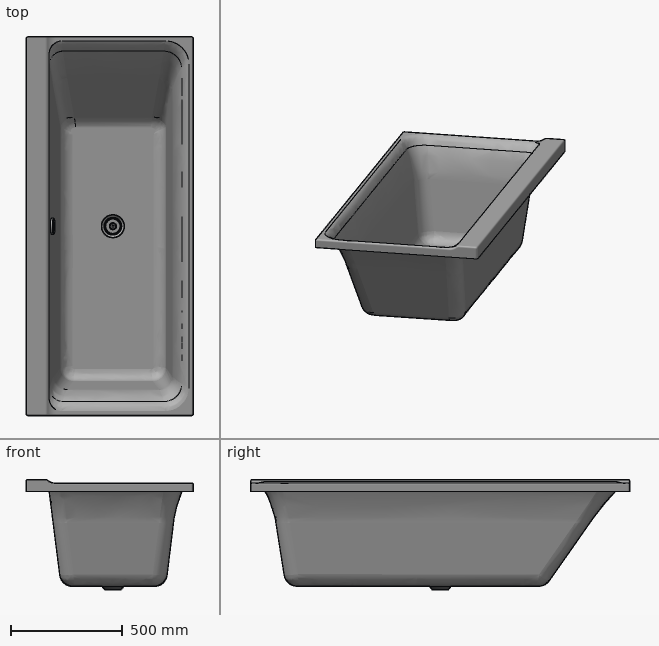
import cadquery as cq
import math


rim_width = 750.25
rim_length = 1700.11
rim_underside_z = -54.0
rim_top_z = -16.0
rim_corner_round = 10.0
rim_edge_round = 8.0
deck_width = 87.0
step_round_width = 10.0
step_toe_width = 35.0

wall = 5.0
floor_z = -474.0
floor_fillet = 56.0
flare_z = -196.0
flare_rise = rim_top_z - flare_z
flare_angles = (0, 15, 30, 45, 60, 75, 90)
corner_radius = 59.0
wide_corner_radius = 105.0

deck_wall = (214.0, 7.2, 0.0)
side_wall = (247.0, 7.0, 52.0)
back_wall = (469.0, 35.0, 41.0)
foot_wall = (688.0, 9.0, 69.0)

drain_x = 14.0
recess_top_diameter = 104.0
recess_floor_diameter = 80.0
recess_depth = 12.0
sump_top_diameter = 100.0
sump_bottom_diameter = 72.0
tub_bottom_z = -495.0

flange_diameter = 72.0
flange_height = 13.0
flange_chamfer = 4.0
shank_diameter = 52.0
ring_diameter = 32.0
hub_diameter = 24.0
ring_depth = 3.0
socket_diameter = 9.2
socket_depth = 8.0
back_bore_diameter = 24.0
back_bore_depth = 2.0
overflow_z = -97.0


def wall_distance(wall_data, z, flare_angle, outset):
    """Distance of a wall from the origin at height z, moved out by the outset thickness."""
    base, lean, flare = wall_data
    slope = math.radians(lean)
    straight = base + (z - floor_z) * math.tan(slope) + outset / math.cos(slope)
    return straight + flare * (1 - math.cos(math.radians(flare_angle)))


def section(z, flare_angle, outset):
    """Rounded outline of the bowl at height z, with larger corners on its +X side."""
    x0 = -wall_distance(deck_wall, z, flare_angle, outset)
    x1 = wall_distance(side_wall, z, flare_angle, outset)
    y0 = -wall_distance(foot_wall, z, flare_angle, outset)
    y1 = wall_distance(back_wall, z, flare_angle, outset)
    growth = 1 - math.cos(math.radians(flare_angle))
    r0 = corner_radius + outset
    r1 = r0 + (wide_corner_radius - corner_radius) * growth
    c0 = r0 * (1 - math.sqrt(0.5))
    c1 = r1 * (1 - math.sqrt(0.5))
    outline = (
        cq.Workplane("XY", origin=(0, 0, z))
        .moveTo(x0 + r0, y0)
        .lineTo(x1 - r1, y0)
        .threePointArc((x1 - c1, y0 + c1), (x1, y0 + r1))
        .lineTo(x1, y1 - r1)
        .threePointArc((x1 - c1, y1 - c1), (x1 - r1, y1))
        .lineTo(x0 + r0, y1)
        .threePointArc((x0 + c0, y1 - c0), (x0, y1 - r0))
        .lineTo(x0, y0 + r0)
        .threePointArc((x0 + c0, y0 + c0), (x0 + r0, y0))
        .close()
    )
    return outline.val()


def bowl(outset):
    """Solid filling the bowl, enlarged on all sides by the outset thickness."""
    bottom = section(floor_z - outset, 0, outset)
    flare_start = section(flare_z, 0, outset)
    lower = cq.Workplane(cq.Solid.makeLoft([bottom, flare_start], True))
    lower = lower.faces("<Z").edges().fillet(floor_fillet + outset)
    flare_sections = [
        section(flare_z + flare_rise * math.sin(math.radians(angle)), angle, outset)
        for angle in flare_angles
    ]
    upper = cq.Workplane(cq.Solid.makeLoft(flare_sections))
    return lower.union(upper)


def rim_slab():
    """Rim and deck slab, with an S-shaped step between the two levels."""
    left = -rim_width / 2
    step_start = left + deck_width
    step_middle = step_start + step_round_width
    step_end = step_middle + step_toe_width
    step_middle_z = rim_top_z * step_round_width / (step_round_width + step_toe_width)
    slab = (
        cq.Workplane("XZ", origin=(0, rim_length / 2, 0))
        .moveTo(left, rim_underside_z)
        .lineTo(left, 0)
        .lineTo(step_start, 0)
        .tangentArcPoint((step_middle, step_middle_z), relative=False)
        .tangentArcPoint((step_end, rim_top_z), relative=False)
        .lineTo(rim_width / 2, rim_top_z)
        .lineTo(rim_width / 2, rim_underside_z)
        .close()
        .extrude(rim_length)
    )
    slab = slab.edges("|Z").fillet(rim_corner_round)
    outer_sides = slab.faces("<X or >X or <Y or >Y")
    return outer_sides.edges("not (|Z or <Z)").fillet(rim_edge_round)


def cone(x, z_low, z_high, diameter_low, diameter_high):
    """Upright cone frustum centred at (x, 0)."""
    height = z_high - z_low
    return cq.Workplane(
        cq.Solid.makeCone(diameter_low / 2, diameter_high / 2, height, cq.Vector(x, 0, z_low))
    )


def disc(diameter, z_low, height):
    """Cylinder on the Z axis."""
    return cq.Workplane("XY", origin=(0, 0, z_low)).circle(diameter / 2).extrude(height)


def shank(shank_length):
    """Plain part of a fitting that passes through the tub wall, below the origin."""
    return disc(shank_diameter, -shank_length, shank_length)


def fitting(shank_length):
    """Flange that lies on the inner face of the tub, with a shank that fills the hole in the wall."""
    flange = disc(flange_diameter, 0, flange_height)
    flange = flange.faces(">Z").edges().chamfer(flange_chamfer)
    ring_floor = flange_height - ring_depth
    ring = disc(ring_diameter, ring_floor, ring_depth).cut(disc(hub_diameter, ring_floor, ring_depth))
    socket = disc(socket_diameter, flange_height - socket_depth, socket_depth)
    back_bore = disc(back_bore_diameter, -shank_length, back_bore_depth)
    return flange.union(shank(shank_length)).cut(ring).cut(socket).cut(back_bore)


def placed(body, location):
    """The body moved from the origin to its place on the tub."""
    return cq.Workplane(body.val().moved(location))


rim_opening = section(rim_top_z, flare_angles[-1], 0)
opening = cq.Workplane(
    cq.Solid.extrudeLinear(rim_opening, [], cq.Vector(0, 0, -rim_top_z))
)
sump = cone(drain_x, tub_bottom_z, floor_z - wall, sump_bottom_diameter, sump_top_diameter)
recess_floor_z = floor_z - recess_depth
recess = cone(drain_x, recess_floor_z, floor_z, recess_floor_diameter, recess_top_diameter)

drain_place = cq.Location(cq.Vector(drain_x, 0, recess_floor_z))
drain_shank_length = recess_floor_z - tub_bottom_z
overflow_x = -wall_distance(deck_wall, overflow_z, 0, 0)
deck_wall_lean = deck_wall[1]
overflow_tilt = 90 - deck_wall_lean
overflow_place = cq.Location(
    cq.Vector(overflow_x, 0, overflow_z), cq.Vector(0, 1, 0), overflow_tilt
)
drain = placed(fitting(drain_shank_length), drain_place)
overflow = placed(fitting(wall), overflow_place)

tub = rim_slab().union(bowl(wall)).union(sump)
tub = tub.cut(bowl(0)).cut(opening).cut(recess)
tub = tub.cut(placed(shank(drain_shank_length), drain_place))
tub = tub.cut(placed(shank(wall), overflow_place))

result = cq.Compound.makeCompound([body.solids().val() for body in (tub, drain, overflow)])